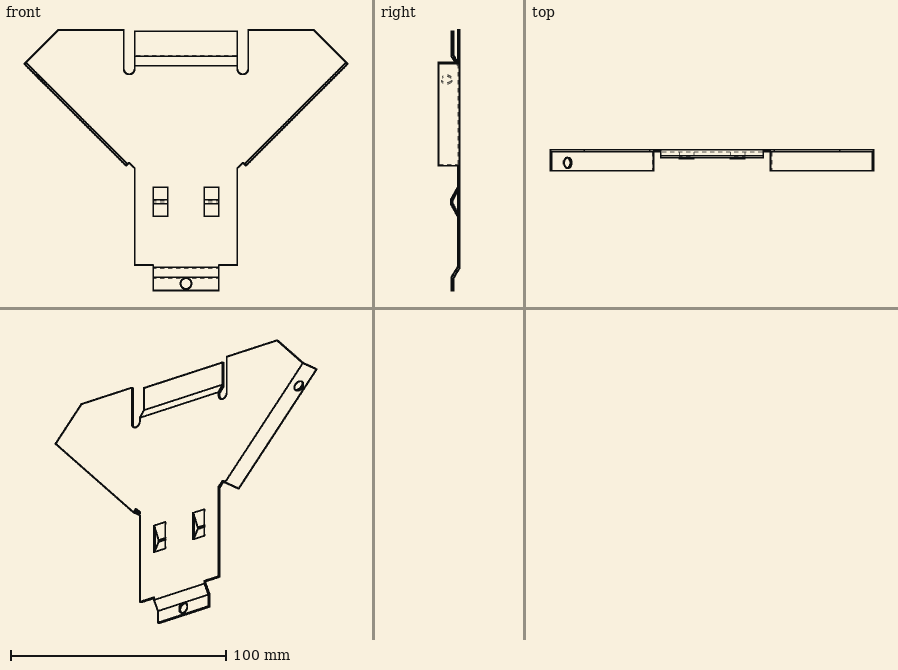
import cadquery as cq
import math

height = 121.2
half_span = 75.2
sheet_thickness = 1.0

corner_cut = 15.8
half_stem = 23.9
stem_bottom = 11.9
tip_z = height - corner_cut

flange_run = 47.4
relief_depth = 2.0
flange_depth = 10.0
hole_diameter = 5.0
flange_hole_run = 7.5
flange_hole_depth = 6.2

slot_width = 5.0
slot_depth = 20.6

tab_offset = 2.9
upper_tab_top = 120.6
upper_bend_top = 108.9
upper_bend_bottom = 104.7
half_lower_tab = 15.3
lower_bend_top = 11.0
lower_bend_bottom = 6.3
lower_hole_z = 3.3

bridge_inner_x = 8.4
bridge_width = half_lower_tab - bridge_inner_x
bridge_bottom = 34.6
bridge_top = 48.0
bridge_height = 4.2
bridge_thickness = 0.9
crest_half_width = 0.9
inner_crest_half_width = 0.5
bridge_foot_height = 1.5

overlap = 0.3


def block(x_min, x_max, y_min, y_max, z_min, z_max):
    size = (x_max - x_min, y_max - y_min, z_max - z_min)
    return cq.Workplane("XY").box(*size, centered=False).translate((x_min, y_min, z_min))


def side_profile(points, x_min, x_max):
    """Extrude a closed YZ outline between two X positions."""
    return cq.Workplane("YZ").workplane(offset=x_min).polyline(points).close().extrude(x_max - x_min)


def front_profile(points, depth):
    """Extrude a closed XZ outline from the back face toward -Y."""
    return cq.Workplane("XZ").polyline(points).close().extrude(depth)


def make_plate():
    inset = relief_depth / math.sqrt(2)
    notch_x = half_span - flange_run - inset
    notch_z = tip_z - flange_run + inset
    right_side = [
        (half_span - corner_cut, height),
        (half_span, tip_z),
        (half_span - flange_run, tip_z - flange_run),
        (notch_x, notch_z),
        (half_stem, notch_z - (notch_x - half_stem)),
        (half_stem, stem_bottom),
    ]
    left_side = [(-x, z) for x, z in reversed(right_side)]
    return front_profile(right_side + left_side, sheet_thickness)


def make_flange(side):
    inset = sheet_thickness / math.sqrt(2)
    tip_x = side * half_span
    end_x = side * (half_span - flange_run)
    end_z = tip_z - flange_run
    strip = [
        (tip_x, tip_z),
        (end_x, end_z),
        (end_x - side * inset, end_z + inset),
        (tip_x - side * inset, tip_z + inset),
    ]
    return front_profile(strip, flange_depth)


def make_flange_hole():
    """Bore through the -X flange, square to its face."""
    back_off = sheet_thickness
    bore_depth = sheet_thickness + 2 * back_off
    direction = cq.Vector(1, 0, 1).normalized()
    centre = cq.Vector(flange_hole_run - half_span, -flange_hole_depth, tip_z - flange_hole_run)
    start = centre - direction * back_off
    return cq.Workplane(cq.Solid.makeCylinder(hole_diameter / 2, bore_depth, start, direction))


def cut_upper_region(body):
    """Cut the round-ended slots and clear the plate behind the upper tab."""
    slot_radius = slot_width / 2
    slot_centre = half_stem + slot_radius
    slot_end = height - slot_depth + slot_radius
    for side in (-1, 1):
        x = side * slot_centre
        body = body.cut(block(x - slot_radius, x + slot_radius, -sheet_thickness, 0, slot_end, height))
        end = cq.Workplane("XZ").center(x, slot_end).circle(slot_radius).extrude(sheet_thickness)
        body = body.cut(end)
    return body.cut(block(-half_stem, half_stem, -sheet_thickness, 0, upper_bend_bottom, height))


def make_upper_tab():
    front = -tab_offset - sheet_thickness
    bend_shift = sheet_thickness / 2
    points = [
        (0, upper_bend_bottom - overlap),
        (-sheet_thickness, upper_bend_bottom - overlap),
        (-sheet_thickness, upper_bend_bottom),
        (front, upper_bend_top),
        (front, upper_tab_top),
        (-tab_offset, upper_tab_top),
        (-tab_offset, upper_bend_top + bend_shift),
        (0, upper_bend_bottom),
    ]
    return side_profile(points, -half_stem, half_stem)


def make_lower_tab():
    front = -tab_offset - sheet_thickness
    bend_shift = sheet_thickness / 2
    points = [
        (0, stem_bottom + overlap),
        (-sheet_thickness, stem_bottom + overlap),
        (-sheet_thickness, lower_bend_top),
        (front, lower_bend_bottom),
        (front, 0),
        (-tab_offset, 0),
        (-tab_offset, lower_bend_bottom - bend_shift),
        (0, lower_bend_top - bend_shift),
    ]
    tab = side_profile(points, -half_lower_tab, half_lower_tab)
    hole = cq.Workplane("XZ").center(0, lower_hole_z).circle(hole_diameter / 2).extrude(flange_depth)
    return tab.cut(hole)


def add_bridge(body, x_min):
    """Open a window in the plate and span it with a raised strip."""
    x_max = x_min + bridge_width
    middle = (bridge_bottom + bridge_top) / 2
    crest = -bridge_height
    underside = crest + bridge_thickness
    body = body.cut(block(x_min, x_max, -sheet_thickness, 0, bridge_bottom, bridge_top))
    points = [
        (0, bridge_top + overlap),
        (-sheet_thickness, bridge_top + overlap),
        (-sheet_thickness, bridge_top),
        (crest, middle + crest_half_width),
        (crest, middle - crest_half_width),
        (-sheet_thickness, bridge_bottom),
        (-sheet_thickness, bridge_bottom - overlap),
        (0, bridge_bottom - overlap),
        (0, bridge_bottom),
        (-sheet_thickness, bridge_bottom + bridge_foot_height),
        (underside, middle - inner_crest_half_width),
        (underside, middle + inner_crest_half_width),
        (-sheet_thickness, bridge_top - bridge_foot_height),
        (0, bridge_top),
    ]
    return body.union(side_profile(points, x_min, x_max))


result = cut_upper_region(make_plate())
for flange_side in (-1, 1):
    result = result.union(make_flange(flange_side))
result = result.cut(make_flange_hole())
result = result.union(make_upper_tab()).union(make_lower_tab())
for bridge_x in (-half_lower_tab, bridge_inner_x):
    result = add_bridge(result, bridge_x)